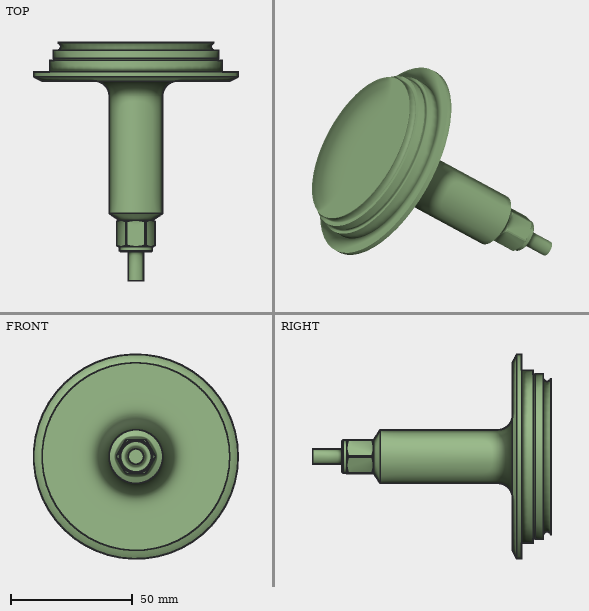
import cadquery as cq
import math


lip_diameter = 64.0
lip_thickness = 0.3
neck_diameter = 61.8
neck_end_depth = 3.3

small_ring_diameter = 68.0
small_ring_end_depth = 6.6
relief_diameter = 67.4
relief_end_depth = 7.5
large_ring_diameter = 71.0
large_ring_end_depth = 12.2

flange_diameter = 84.0
flange_rim_end_depth = 14.2
flange_face_depth = 16.0
flange_face_diameter = 77.0

stem_diameter = 22.0
stem_blend_radius = 6.0
stem_end_depth = 70.3
taper_end_depth = 73.0
taper_end_diameter = 13.6

nut_across_flats = 14.0
nut_corner_diameter = 15.8
nut_end_depth = 84.0
nut_bevel_length = 0.6
nut_end_diameter = 13.8

collar_diameter = 13.6
collar_end_depth = 86.0
collar_chamfer = 0.5
cable_diameter = 6.3
overall_length = 98.0


def turn(profile):
    """Revolve a closed radius-depth profile about the Y axis."""
    return profile.close().revolve(360, (0, 0, 0), (0, 1, 0))


def cylinder(diameter, start_depth, end_depth):
    """Make a cylinder along the Y axis between two depths."""
    plane = cq.Workplane("XZ", origin=(0, -start_depth, 0))
    return plane.circle(diameter / 2).extrude(end_depth - start_depth)


def make_body():
    """Turn the lip, rings, flange and stem as one profile."""
    lip_radius = lip_diameter / 2
    stem_radius = stem_diameter / 2
    neck_middle_depth = (lip_thickness + neck_end_depth) / 2
    blend_inset = stem_blend_radius * (1 - math.sqrt(0.5))
    profile = (
        cq.Workplane("XY")
        .lineTo(lip_radius, 0)
        .lineTo(lip_radius, -lip_thickness)
        .threePointArc((neck_diameter / 2, -neck_middle_depth), (lip_radius, -neck_end_depth))
        .lineTo(small_ring_diameter / 2, -neck_end_depth)
        .lineTo(small_ring_diameter / 2, -small_ring_end_depth)
        .lineTo(relief_diameter / 2, -small_ring_end_depth)
        .lineTo(relief_diameter / 2, -relief_end_depth)
        .lineTo(large_ring_diameter / 2, -relief_end_depth)
        .lineTo(large_ring_diameter / 2, -large_ring_end_depth)
        .lineTo(flange_diameter / 2, -large_ring_end_depth)
        .lineTo(flange_diameter / 2, -flange_rim_end_depth)
        .lineTo(flange_face_diameter / 2, -flange_face_depth)
        .lineTo(stem_radius + stem_blend_radius, -flange_face_depth)
        .threePointArc(
            (stem_radius + blend_inset, -flange_face_depth - blend_inset),
            (stem_radius, -flange_face_depth - stem_blend_radius),
        )
        .lineTo(stem_radius, -stem_end_depth)
        .lineTo(taper_end_diameter / 2, -taper_end_depth)
        .lineTo(0, -taper_end_depth)
    )
    return turn(profile)


def make_nut():
    """Cut a hexagonal prism to a turned envelope that rounds its corners and bevels its ends."""
    across_corners = nut_across_flats / math.cos(math.radians(30))
    prism = (
        cq.Workplane("XZ", origin=(0, -taper_end_depth, 0))
        .polygon(6, across_corners)
        .extrude(nut_end_depth - taper_end_depth)
    )
    envelope = turn(
        cq.Workplane("XY")
        .moveTo(0, -taper_end_depth)
        .lineTo(nut_end_diameter / 2, -taper_end_depth)
        .lineTo(nut_corner_diameter / 2, -taper_end_depth - nut_bevel_length)
        .lineTo(nut_corner_diameter / 2, -nut_end_depth + nut_bevel_length)
        .lineTo(nut_end_diameter / 2, -nut_end_depth)
        .lineTo(0, -nut_end_depth)
    )
    return prism.intersect(envelope)


def make_collar():
    """Make the collar with its front edge chamfered."""
    return cylinder(collar_diameter, nut_end_depth, collar_end_depth).faces("<Y").chamfer(collar_chamfer)


def make_cable():
    """Make the cable stub that ends the part."""
    return cylinder(cable_diameter, collar_end_depth, overall_length)


result = make_body().union(make_nut()).union(make_collar()).union(make_cable())